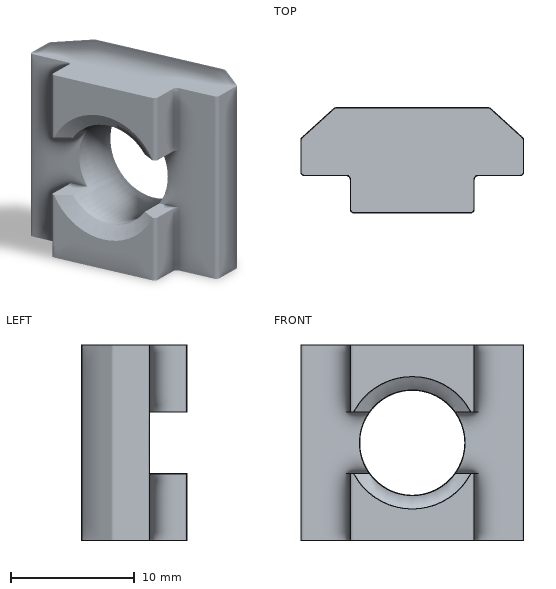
import cadquery as cq

width = 18.0
depth = 8.5
height = 15.8

neck_width = 10.0
neck_depth = 3.0
back_width = 12.5
bevel_depth = 2.5
edge_radius = 0.3

hole_diameter = 8.5
countersink_diameter = 10.7
countersink_depth = 4.5
slot_height = 4.97

front_y = -depth / 2
back_y = depth / 2
shoulder_y = front_y + neck_depth
bevel_y = back_y - bevel_depth


def make_body():
    """Extrude the T-shaped profile along Z and round its long edges."""
    right_side = [
        (neck_width / 2, front_y),
        (neck_width / 2, shoulder_y),
        (width / 2, shoulder_y),
        (width / 2, bevel_y),
        (back_width / 2, back_y),
    ]
    left_side = [(-x, y) for x, y in reversed(right_side)]
    profile = cq.Workplane("XY").polyline(right_side + left_side).close()
    body = profile.extrude(height / 2, both=True)
    return body.edges("|Z").fillet(edge_radius)


def cut_slot(body):
    """Cut across the neck, down to the shoulders, at mid height."""
    slot = cq.Workplane("XY").box(width, neck_depth, slot_height)
    return body.cut(slot.translate((0, front_y + neck_depth / 2, 0)))


def make_countersink(face_y, inward):
    """Cone narrowing from the face at face_y to the bore; inward is +1 or -1 along Y."""
    return (
        cq.Workplane("XZ", origin=(0, face_y, 0))
        .circle(countersink_diameter / 2)
        .workplane(offset=-inward * countersink_depth)
        .circle(hole_diameter / 2)
        .loft(ruled=True)
    )


def cut_hole(body):
    """Drill through along Y and countersink both ends."""
    bore = cq.Workplane("XZ").circle(hole_diameter / 2).extrude(depth / 2, both=True)
    body = body.cut(bore)
    for face_y, inward in ((front_y, 0.18), (back_y, -0.18)):
        body = body.cut(make_countersink(face_y, inward))
    return body


result = cut_hole(cut_slot(make_body()))